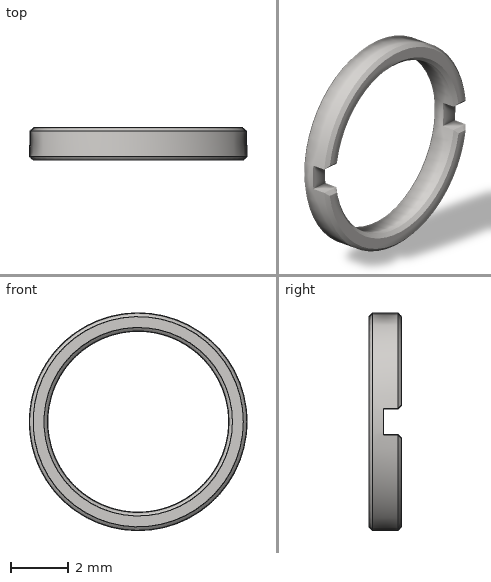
import cadquery as cq

outer_diameter = 7.62
bore_diameter = 6.34
width = 1.14
chamfer = 0.13

notch_height = 0.9
notch_depth = 0.63


def make_ring():
    """Plain ring centred on the origin, with every circular edge chamfered."""
    ring = (
        cq.Workplane("XZ", origin=(0, width / 2, 0))
        .circle(outer_diameter / 2)
        .circle(bore_diameter / 2)
        .extrude(width)
    )
    return ring.faces("<Y or >Y").edges().chamfer(chamfer)


def make_notch_cutter():
    """Bar along X that cuts both notches, flared at the back to chamfer their mouths."""
    back_y = width / 2
    floor_y = back_y - notch_depth
    flare_y = back_y - chamfer
    wall_z = notch_height / 2
    mouth_z = wall_z + chamfer
    outline = [
        (floor_y, -wall_z),
        (flare_y, -wall_z),
        (back_y, -mouth_z),
        (back_y, mouth_z),
        (flare_y, wall_z),
        (floor_y, wall_z),
    ]
    return cq.Workplane("YZ").polyline(outline).close().extrude(outer_diameter / 2, both=True)


result = make_ring().cut(make_notch_cutter())